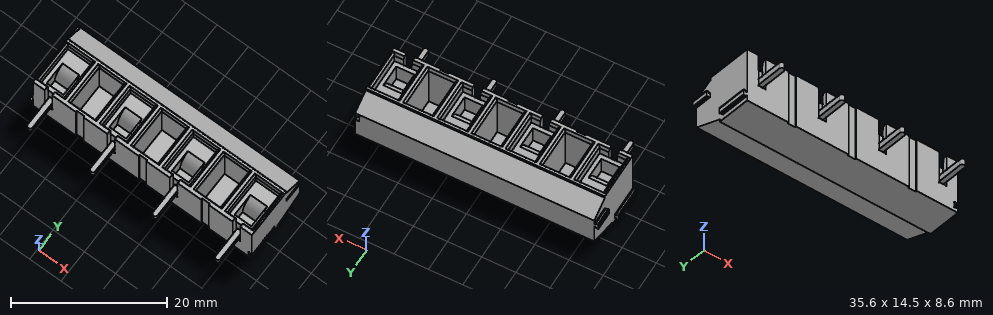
import cadquery as cq
import math

overall_length = 35.6
lug_reach = 0.6
housing_length = overall_length - lug_reach
cell_count = 7
cell_pitch = housing_length / cell_count
housing_depth = 10.2
housing_height = 8.6

top_ridge_y = 7.4
top_step = 0.35
rear_top_z = 6.7
rear_bottom_z = 2.1
bottom_ridge_y = 5.5
bottom_step = 0.4

partition = 0.5
cell_width = cell_pitch - partition
cell_front_y = 0.57
cell_back_y = 6.98
side_bevel = 0.3
end_bevel_inset = 0.2
end_bevel_depth = 0.55
well_floor_z = 1.5
inner_front_y = cell_front_y + end_bevel_inset
inner_back_y = cell_back_y - end_bevel_inset

contact_top_z = 6.95
recess_width = 2.67
recess_front_y = 1.42
recess_back_y = 4.8
ramp_radius = 3.0
ramp_start_angle = math.radians(26)
ramp_end_angle = math.pi / 2

pin_width = 0.8
pin_height = 1.0
pin_z = 4.4
pin_length = 4.27
slot_width = 1.2
slot_bottom_z = 3.5

groove_width = 1.2
groove_depth = 0.2

lug_tip_bevel = 0.1
lug_tip_height = 0.85
lug_flare_height = 0.95
lug_neck_height = 0.65
neck_length = 0.15
lower_lug_z = 1.1
lower_lug_length = 4.85
upper_lug_z = 5.7
upper_lug_length = housing_depth - top_ridge_y


def box(x_min, x_max, y_min, y_max, z_min, z_max):
    """Block between two opposite corners."""
    size = (x_max - x_min, y_max - y_min, z_max - z_min)
    return cq.Workplane("XY").box(*size, centered=False).translate((x_min, y_min, z_min))


def cell_center(index):
    return (index + 0.5) * cell_pitch


def housing():
    outline = [
        (0, 0),
        (bottom_ridge_y, 0),
        (bottom_ridge_y, bottom_step),
        (housing_depth, rear_bottom_z),
        (housing_depth, rear_top_z),
        (top_ridge_y, housing_height - top_step),
        (top_ridge_y, housing_height),
        (0, housing_height),
    ]
    return cq.Workplane("YZ").polyline(outline).close().extrude(housing_length)


def flared_outline(low, high, flare, flare_depth, floor_z):
    """Upright rectangle from floor_z to the housing top that widens by flare at the top."""
    flare_z = housing_height - flare_depth
    return [
        (low, floor_z),
        (high, floor_z),
        (high, flare_z),
        (high + flare, housing_height),
        (low - flare, housing_height),
        (low, flare_z),
    ]


def cell_cavity(x, floor_z):
    """Well down to floor_z: 45 degree bevels on its sides, steeper bevels on its ends."""
    half = cell_width / 2
    inner_half = half - side_bevel
    across = flared_outline(x - inner_half, x + inner_half, side_bevel, side_bevel, floor_z)
    along = flared_outline(inner_front_y, inner_back_y, end_bevel_inset, end_bevel_depth, floor_z)
    side_prism = cq.Workplane("XZ").polyline(across).close().extrude(-housing_depth)
    end_prism = cq.Workplane("YZ").workplane(offset=x - half).polyline(along).close().extrude(cell_width)
    return side_prism.intersect(end_prism)


def contact_recess(x):
    """Pocket in the contact block whose rear wall rounds over until it drops vertically to the floor."""
    center_y = recess_back_y + ramp_radius * math.sin(ramp_start_angle)
    center_z = contact_top_z - ramp_radius * math.cos(ramp_start_angle)

    def ramp_point(angle):
        return (center_y - ramp_radius * math.sin(angle), center_z + ramp_radius * math.cos(angle))

    return (
        cq.Workplane("YZ")
        .moveTo(recess_front_y, contact_top_z)
        .lineTo(*ramp_point(ramp_start_angle))
        .threePointArc(
            ramp_point((ramp_start_angle + ramp_end_angle) / 2),
            ramp_point(ramp_end_angle),
        )
        .lineTo(recess_front_y, center_z)
        .close()
        .extrude(recess_width)
        .translate((x - recess_width / 2, 0, 0))
    )


def pin_slot(x):
    return box(x - slot_width / 2, x + slot_width / 2, 0, inner_front_y, slot_bottom_z, housing_height)


def pin(x):
    """Flat pin with a fully rounded tip, rooted in the contact block."""
    half = pin_width / 2
    straight_end_y = half - pin_length
    return (
        cq.Workplane("XY")
        .moveTo(x - half, inner_front_y)
        .lineTo(x - half, straight_end_y)
        .threePointArc((x, -pin_length), (x + half, straight_end_y))
        .lineTo(x + half, inner_front_y)
        .close()
        .extrude(pin_height)
        .translate((0, 0, pin_z - pin_height / 2))
    )


def front_groove(x):
    return box(x - groove_width / 2, x + groove_width / 2, 0, groove_depth, 0, housing_height)


def dovetail(end_x, z, y_start, length):
    """Bar along Y: a straight neck at end_x, flaring towards -X to a bevelled tip."""
    tip_x = end_x - lug_reach
    upper_half = [
        (end_x, lug_neck_height / 2),
        (end_x - neck_length, lug_neck_height / 2),
        (tip_x + lug_tip_bevel, lug_flare_height / 2),
        (tip_x, lug_tip_height / 2),
    ]
    outline = [(x, z + rise) for x, rise in upper_half]
    outline += [(x, z - rise) for x, rise in reversed(upper_half)]
    bar = cq.Workplane("XZ").polyline(outline).close().extrude(-length)
    return bar.translate((0, y_start, 0))


def dovetail_pair(end_x):
    lower = dovetail(end_x, lower_lug_z, 0, lower_lug_length)
    upper = dovetail(end_x, upper_lug_z, top_ridge_y, upper_lug_length)
    return lower.union(upper)


result = housing()

for index in range(cell_count):
    x = cell_center(index)
    if index % 2 == 0:
        result = result.cut(cell_cavity(x, contact_top_z))
        result = result.cut(contact_recess(x)).cut(pin_slot(x)).union(pin(x))
    else:
        result = result.cut(cell_cavity(x, well_floor_z)).cut(front_groove(x))

result = result.union(dovetail_pair(0)).cut(dovetail_pair(housing_length))